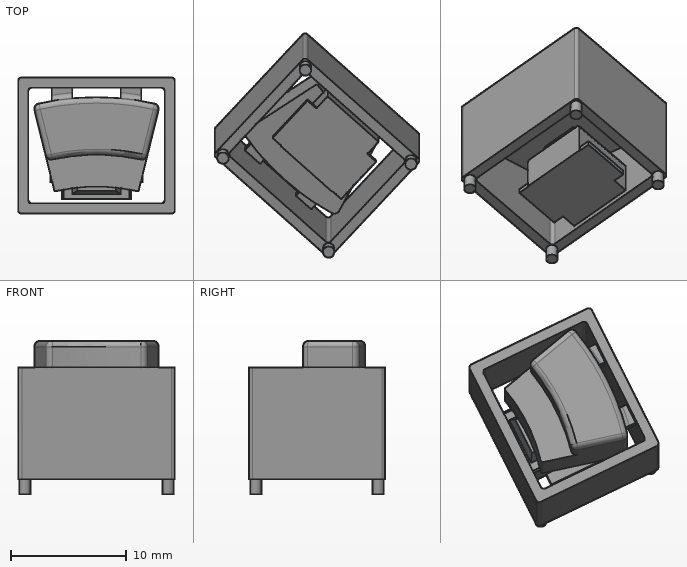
import cadquery as cq
import math

housing_length = 13.6
housing_width = 11.8
housing_height = 9.7
wall = 0.9
housing_corner_radius = 0.3
pin_diameter = 1.0
pin_length = 1.3
pin_inset = 0.6

arc_center_y = -18.7
key_half_angle = math.radians(13.9)
back_radius = 22.9
step_radius = 17.9
front_radius = 15.15
cap_top = housing_height + 2.3
ledge_top = housing_height - 0.25
key_bottom = 5.0
cap_round = 0.5
ledge_corner_radius = 0.15

tab_inner_x = 2.1
tab_width = 1.8
tab_top = housing_height - 1.25
tab_thickness = 1.0
tab_fillet = 0.5

switch_length = 6.0
switch_depth = 6.0
switch_front_y = -4.65
switch_bottom = 0.0
switch_top = 3.5
switch_edge_chamfer = 0.18
terminal_span = 8.06
terminal_width = 4.5
terminal_front_y = -3.2
terminal_thickness = 0.5

plunger_length = 4.24
plunger_front_y = -4.24
plunger_top_length = 3.3
plunger_top_front_y = -3.9


def box(x_size, y_size, z_size, center_x, center_y, bottom):
    """Upright block given by its centre in plan and its bottom height."""
    return (
        cq.Workplane("XY", origin=(center_x, center_y, bottom))
        .rect(x_size, y_size)
        .extrude(z_size)
    )


def arc_point(radius, angle):
    """Point on a key arc; the angle is measured from +Y towards +X."""
    return (radius * math.sin(angle), arc_center_y + radius * math.cos(angle))


def ring_sector(inner_radius, outer_radius, bottom, top):
    """Block bounded by two concentric arcs and two radial sides."""
    return (
        cq.Workplane("XY", origin=(0, 0, bottom))
        .moveTo(*arc_point(inner_radius, -key_half_angle))
        .threePointArc(arc_point(inner_radius, 0), arc_point(inner_radius, key_half_angle))
        .lineTo(*arc_point(outer_radius, key_half_angle))
        .threePointArc(arc_point(outer_radius, 0), arc_point(outer_radius, -key_half_angle))
        .close()
        .extrude(top - bottom)
    )


def make_housing():
    outer = box(housing_length, housing_width, housing_height, 0, 0, 0)
    outer = outer.edges("|Z").fillet(housing_corner_radius)
    opening = box(housing_length - 2 * wall, housing_width - 2 * wall, housing_height, 0, 0, 0)
    opening = opening.edges("|Z").fillet(housing_corner_radius)
    pins = (
        cq.Workplane("XY")
        .rect(housing_length - 2 * pin_inset, housing_width - 2 * pin_inset, forConstruction=True)
        .vertices()
        .circle(pin_diameter / 2)
        .extrude(-pin_length)
    )
    return outer.cut(opening).union(pins)


def make_tab(side):
    """Tongue with a concave fillet rising to the curved back of the key."""
    wall_y = housing_width / 2 - wall
    center_x = side * (tab_inner_x + tab_width / 2)
    start_y = arc_center_y + step_radius
    blank = box(
        tab_width,
        wall_y - start_y,
        tab_thickness + tab_fillet,
        center_x,
        (wall_y + start_y) / 2,
        tab_top - tab_thickness,
    )
    fillet_outer_radius = back_radius + tab_fillet
    above_tab = (
        cq.Workplane("XZ", origin=(0, arc_center_y, 0))
        .moveTo(back_radius, tab_top + tab_fillet)
        .radiusArc((fillet_outer_radius, tab_top), -tab_fillet)
        .lineTo(fillet_outer_radius + housing_width, tab_top)
        .lineTo(fillet_outer_radius + housing_width, tab_top + tab_fillet)
        .close()
        .revolve(180, (0, 0, 0), (0, 1, 0))
    )
    above_tab = above_tab.union(above_tab.mirror("XZ", (0, arc_center_y, 0)))
    return blank.cut(above_tab)


def make_key():
    cap = ring_sector(step_radius, back_radius, key_bottom, cap_top)
    cap = cap.edges("|Z").fillet(cap_round).faces(">Z").edges().fillet(cap_round)
    ledge = ring_sector(front_radius, (step_radius + back_radius) / 2, key_bottom, ledge_top)
    ledge = ledge.edges("|Z and <Y").fillet(ledge_corner_radius)
    key = cap.union(ledge)
    for side in (-1, 1):
        key = key.union(make_tab(side))
    return key


def make_switch():
    body = box(
        switch_length,
        switch_depth,
        switch_top - switch_bottom,
        0,
        switch_front_y + switch_depth / 2,
        switch_bottom,
    )
    body = body.edges("|Y and >Z").chamfer(switch_edge_chamfer)
    terminals = box(
        terminal_span,
        terminal_width,
        terminal_thickness,
        0,
        terminal_front_y + terminal_width / 2,
        switch_bottom,
    )
    return body.union(terminals)


def make_plunger():
    center_y = switch_front_y + switch_depth / 2
    base_depth = 2 * (center_y - plunger_front_y)
    top_depth = 2 * (center_y - plunger_top_front_y)
    return (
        cq.Workplane("XY", origin=(0, center_y, switch_top))
        .rect(plunger_length, base_depth)
        .workplane(offset=key_bottom - switch_top)
        .rect(plunger_top_length, top_depth)
        .loft(ruled=True)
    )


housing = make_housing()
key = make_key()
switch = make_switch()
plunger = make_plunger()

result = cq.Compound.makeCompound([housing.val(), key.val(), switch.val(), plunger.val()])